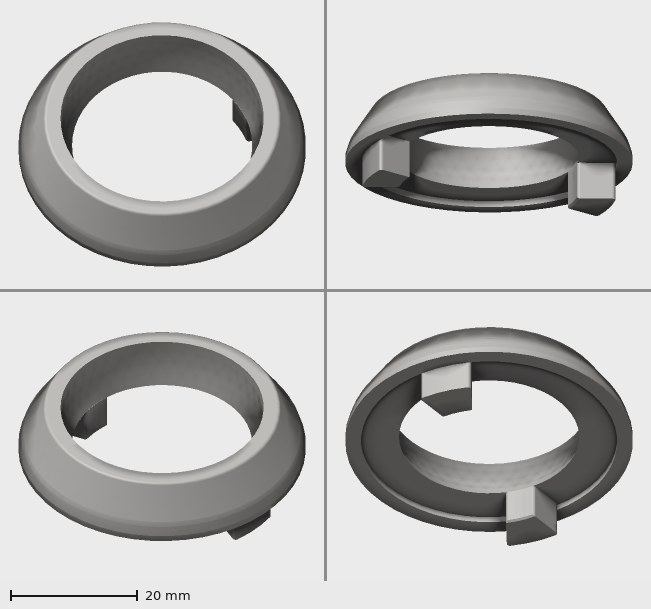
import cadquery as cq

ring_height = 8.4
rim_radius = 22.65
rim_band_height = 1.0
shoulder_radius = 22.05
shoulder_height = 2.9
crown_radius = 18.5
shoulder_fillet = 3.0
crown_fillet = 0.6
edge_search_margin = 0.1

bowl_radius = 16.0

leg_length = 5.0
leg_inner_radius = 14.15
leg_outer_radius = 20.2
leg_inner_width = 4.85
leg_outer_width = 8.95
leg_turns = (0, 180)
leg_corner_fillet = 0.5
leg_tip_chamfer = 0.3

recess_radius = leg_outer_radius
recess_depth = 1.0


def make_ring_body():
    """Solid of revolution with a conical outside and softened shoulders."""
    profile = (
        cq.Workplane("XZ")
        .lineTo(rim_radius, 0)
        .lineTo(rim_radius, rim_band_height)
        .lineTo(shoulder_radius, shoulder_height)
        .lineTo(crown_radius, ring_height)
        .lineTo(0, ring_height)
        .close()
    )
    body = profile.revolve(360, (0, 0, 0), (0, 1, 0))
    body = body.faces(">Z").edges().fillet(crown_fillet)
    shoulder_edge = cq.selectors.BoxSelector(
        (-rim_radius, -rim_radius, shoulder_height - edge_search_margin),
        (rim_radius, rim_radius, shoulder_height + edge_search_margin),
        boundingbox=True,
    )
    return body.edges(shoulder_edge).fillet(shoulder_fillet)


def make_bowl():
    """Ball that cuts the flared opening through the ring."""
    return cq.Workplane("XY").workplane(offset=ring_height).sphere(bowl_radius)


def make_recess():
    """Disc that cuts the shallow recess into the underside."""
    return cq.Workplane("XY").circle(recess_radius).extrude(recess_depth)


def make_leg():
    """Leg on the +Y side, from its tip up to the recess floor."""
    height = leg_length + recess_depth
    base = cq.Workplane("XY").workplane(offset=-leg_length)
    sector = base.circle(leg_outer_radius).circle(leg_inner_radius).extrude(height)

    taper = (leg_outer_width - leg_inner_width) / 2 / (leg_outer_radius - leg_inner_radius)
    apex_y = leg_inner_radius - leg_inner_width / 2 / taper
    wedge = (
        base.moveTo(0, apex_y)
        .lineTo(leg_outer_width / 2, leg_outer_radius)
        .lineTo(-leg_outer_width / 2, leg_outer_radius)
        .close()
        .extrude(height)
    )
    leg = sector.intersect(wedge).edges("|Z").fillet(leg_corner_fillet)

    bevel = cq.Workplane(
        cq.Solid.makeCone(
            leg_inner_radius + leg_tip_chamfer,
            leg_inner_radius,
            leg_tip_chamfer,
            cq.Vector(0, 0, -leg_length),
        )
    )
    return leg.cut(bevel)


result = make_ring_body().cut(make_bowl()).cut(make_recess())
for turn in leg_turns:
    result = result.union(make_leg().rotate((0, 0, 0), (0, 0, 1), turn))